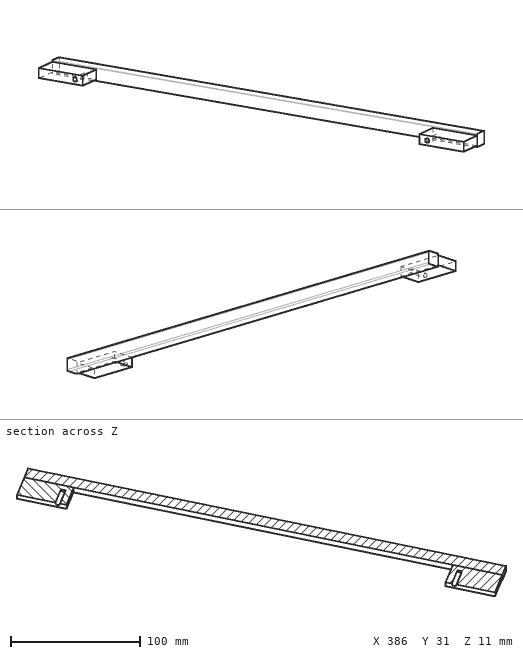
import cadquery as cq

bar_length = 386.0
bar_size = 11.0
back_edge_radius = 1.27
front_edge_radius = 0.3
leg_length = 40.0
leg_depth = 20.0
leg_height = 8.0
hole_spacing = 320.0
hole_diameter = 3.5
hole_depth = 15.5


def make_bar():
    """Square grip bar with rounded long edges, larger at the back."""
    bar = cq.Workplane("XY").box(bar_length, bar_size, bar_size)
    bar = bar.edges("|X and >Y").fillet(back_edge_radius)
    bar = bar.edges("|X and <Y").fillet(front_edge_radius)
    return bar.translate((0, leg_depth + bar_size / 2, 0))


def make_leg(side):
    """Flat leg flush with one end of the bar, with a blind screw hole in its mounting face."""
    leg_x = side * (bar_length - leg_length) / 2
    hole_x = side * hole_spacing / 2
    leg = cq.Workplane("XY").box(leg_length, leg_depth, leg_height).translate((leg_x, leg_depth / 2, 0))
    hole = cq.Workplane("XZ").center(hole_x, 0).circle(hole_diameter / 2).extrude(-hole_depth)
    return leg.cut(hole)


bar = make_bar()
legs = [make_leg(side) for side in (-1, 1)]

result = cq.Compound.makeCompound([bar.val(), *[leg.val() for leg in legs]])